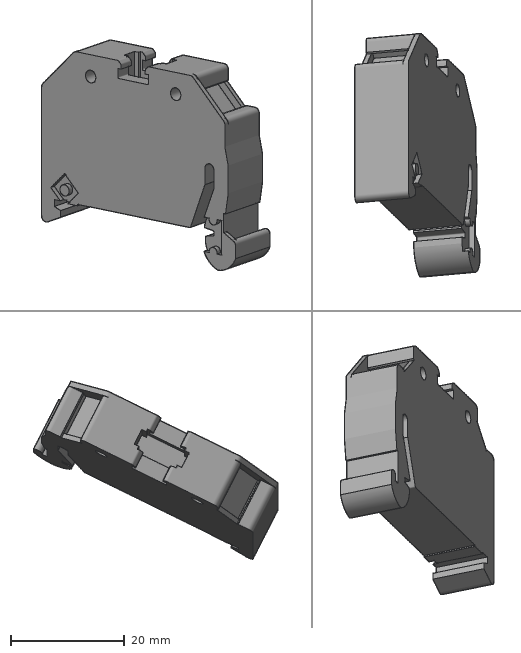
import cadquery as cq
import math

LENGTH = 43.4
THICKNESS = 9.95
HEIGHT = 34.7
BODY_LENGTH = 41.0
MID_X = BODY_LENGTH / 2
SHOULDER_Z = 27.35
SHOULDER_RUN = HEIGHT - SHOULDER_Z
ROUND = 1.0
BASE_Z = 6.75
SKIN = 1.0

HOOK_X = 2.85
HOOK_TIP_X = 4.3
HOOK_TIP_TOP_Z = 5.0
HOOK_TIP_BOTTOM_Z = 3.8
HOOK_ROOT_Z = 5.5
HOOK_BOTTOM_Z = 1.75
PAD_START_X = 4.85
PAD_END_X = 8.07
PAD_Z = 6.5

SLOT_LEFT_X = 36.55
SLOT_WIDTH = 2.0
SLOT_RIGHT_X = SLOT_LEFT_X + SLOT_WIDTH
SLOT_TOP_Z = 19.23
SLOT_BEND_Z = 15.25
SLOT_OUTER_BEND_Z = 14.8
SLOT_MOUTH_X = 33.3
SLOT_MOUTH_ROUND = 0.3

BULGE_X = 41.75
BULGE_TOP_Z = 19.57
BULGE_START_Z = 22.87
BULGE_BOTTOM_Z = 14.5
BULGE_END_X = 41.15
NECK_X = 40.75
NECK_TOP_Z = 10.65
FOOT_TOP_Z = 7.15
FOOT_CORNER_Z = 5.7
FOOT_SIDE_Z = 2.8
FOOT_SIDE_ARC_MID = (41.92, 0.9)
FOOT_LOWEST_X = 39.5
FOOT_NOSE_ARC_MID = (37.25, 1.5)
FOOT_NOSE_Z = 4.25
FOOT_LEFT_X = 35.9

CATCH_LOWER_Z = 5.45
CATCH_ROOT_X = 37.75
CATCH_ROOT_BOTTOM_Z = 5.8
CATCH_ROOT_TOP_Z = 6.73
CATCH_ROOT_ROUND = 0.2
LEG_TIP_X = 35.65
LEG_TIP_Z = 7.0
LEG_TIP_HEIGHT = 0.35
NOSE_ROUND = 0.35

NOTCH_HALF = 3.4
NOTCH_MOUTH_HALF = 2.7
NOTCH_Z = 31.4
NOTCH_FLOOR_ROUND = 0.2
LIP_Z = 33.25
LIP_CHAMFER = 0.65
LIP_ROUND = 0.48
POCKET_DEPTH = 5.0
POCKET_CENTER_Y = 5.0
POCKET_LONG = (9.37, 2.95)
POCKET_WIDE = (7.6, 4.0)

HOLE_DIAMETER = 2.3
HOLE_OFFSET = 9.5
HOLE_Z = 30.73

LEDGE_Z = 27.85
LEDGE_END_X = 2.9
WALL_X = 6.9
WALL_END_Z = LEDGE_Z + WALL_X - LEDGE_END_X
RIB_THICKNESS = 0.9
RIB_DROP = 0.35
RIB_SHIFT = RIB_DROP / math.sqrt(2)
WELL_DEPTH = 1.4
WELL_UNDERCUT = 0.82

FACE_DEPTH = 1.0
DIAMOND_X = 5.15
DIAMOND_Z = 8.85
DIAMOND_SIDE = 4.35
STUD_DIAMETER = 2.05
FOOT_RECESS_RIGHT_X = 40.25
FOOT_RECESS_TOP_Z = 9.25
FOOT_RECESS_BOTTOM_Z = 2.95
BUMP_X = 38.35
BUMP_RADIUS = 0.85
BUMP_STEM = 0.2

GROOVE_SKIN = 0.9

CROWN_RADIUS = 0.85
FOOT_SLOPE = math.atan2(FOOT_TOP_Z - FOOT_CORNER_Z, LENGTH - NECK_X)
CROWN_X = LENGTH - CROWN_RADIUS
CROWN_Z = FOOT_CORNER_Z - CROWN_RADIUS * math.tan(math.pi / 4 - FOOT_SLOPE / 2)


def sketch():
    """Workplane for profiles in X and Z."""
    return cq.Workplane("XZ")


def extrude_y(profile, start, end):
    """Solid filling the profile from Y = start to Y = end."""
    return profile.extrude(start - end).translate((0, start, 0))


def round_corner(solid, x, z, radius):
    """Round the edge along Y that passes through (x, z)."""
    nearest = cq.selectors.NearestToPointSelector((x, THICKNESS / 2, z))
    return solid.edges("|Y").edges(nearest).fillet(radius)


def on_crown(angle):
    """Point on the crown of the foot, angle measured from +Z toward +X."""
    return (CROWN_X + CROWN_RADIUS * math.sin(angle), CROWN_Z + CROWN_RADIUS * math.cos(angle))


def marker_notch():
    half_profile = (
        sketch()
        .moveTo(0, NOTCH_Z)
        .lineTo(NOTCH_HALF, NOTCH_Z)
        .lineTo(NOTCH_HALF, LIP_Z)
        .lineTo(NOTCH_MOUTH_HALF, LIP_Z)
        .lineTo(NOTCH_MOUTH_HALF, HEIGHT - LIP_CHAMFER)
        .lineTo(NOTCH_MOUTH_HALF + LIP_CHAMFER, HEIGHT)
        .lineTo(0, HEIGHT)
        .close()
    )
    half = extrude_y(half_profile, 0, THICKNESS)
    return half.union(half.mirror("YZ")).translate((MID_X, 0, 0))


def housing():
    profile = (
        sketch()
        .moveTo(0, HOOK_BOTTOM_Z)
        .lineTo(0, SHOULDER_Z)
        .lineTo(SHOULDER_RUN, HEIGHT)
        .lineTo(BODY_LENGTH - SHOULDER_RUN, HEIGHT)
        .lineTo(BODY_LENGTH, SHOULDER_Z)
        .lineTo(BODY_LENGTH, BULGE_START_Z)
        .lineTo(BULGE_X, BULGE_TOP_Z)
        .lineTo(BULGE_X, BULGE_BOTTOM_Z)
        .lineTo(BULGE_END_X, NECK_TOP_Z)
        .lineTo(NECK_X, NECK_TOP_Z)
        .lineTo(NECK_X, FOOT_TOP_Z)
        .lineTo(*on_crown(FOOT_SLOPE))
        .threePointArc(on_crown((FOOT_SLOPE + math.pi / 2) / 2), (LENGTH, CROWN_Z))
        .lineTo(LENGTH, FOOT_SIDE_Z)
        .threePointArc(FOOT_SIDE_ARC_MID, (FOOT_LOWEST_X, 0))
        .threePointArc(FOOT_NOSE_ARC_MID, (FOOT_LEFT_X, FOOT_NOSE_Z))
        .lineTo(FOOT_LEFT_X, CATCH_LOWER_Z)
        .lineTo(CATCH_ROOT_X, CATCH_ROOT_BOTTOM_Z)
        .lineTo(CATCH_ROOT_X, CATCH_ROOT_TOP_Z)
        .lineTo(LEG_TIP_X, LEG_TIP_Z)
        .lineTo(LEG_TIP_X, LEG_TIP_Z + LEG_TIP_HEIGHT)
        .lineTo(SLOT_RIGHT_X, SLOT_OUTER_BEND_Z)
        .lineTo(SLOT_RIGHT_X, SLOT_TOP_Z - SLOT_WIDTH / 2)
        .threePointArc(
            (SLOT_LEFT_X + SLOT_WIDTH / 2, SLOT_TOP_Z),
            (SLOT_LEFT_X, SLOT_TOP_Z - SLOT_WIDTH / 2),
        )
        .lineTo(SLOT_LEFT_X, SLOT_BEND_Z)
        .lineTo(SLOT_MOUTH_X, BASE_Z)
        .lineTo(PAD_END_X, BASE_Z)
        .lineTo(PAD_END_X, PAD_Z)
        .lineTo(PAD_START_X, PAD_Z)
        .lineTo(PAD_START_X, BASE_Z)
        .lineTo(HOOK_X, BASE_Z)
        .lineTo(HOOK_X, HOOK_ROOT_Z)
        .lineTo(HOOK_TIP_X, HOOK_TIP_TOP_Z)
        .lineTo(HOOK_TIP_X, HOOK_TIP_BOTTOM_Z)
        .close()
    )
    solid = extrude_y(profile, 0, THICKNESS).cut(marker_notch())
    for side in (-1, 1):
        solid = round_corner(solid, MID_X + side * NOTCH_HALF, NOTCH_Z, NOTCH_FLOOR_ROUND)
        mouth_x = MID_X + side * NOTCH_MOUTH_HALF
        solid = round_corner(solid, mouth_x, HEIGHT - LIP_CHAMFER, LIP_ROUND)
        solid = round_corner(solid, mouth_x + side * LIP_CHAMFER, HEIGHT, LIP_ROUND)
    rounded_corners = [
        (0, HOOK_BOTTOM_Z),
        (0, SHOULDER_Z),
        (SHOULDER_RUN, HEIGHT),
        (BODY_LENGTH - SHOULDER_RUN, HEIGHT),
        (BODY_LENGTH, SHOULDER_Z),
    ]
    for x, z in rounded_corners:
        solid = round_corner(solid, x, z, ROUND)
    solid = round_corner(solid, FOOT_LEFT_X, CATCH_LOWER_Z, NOSE_ROUND)
    for z in (CATCH_ROOT_BOTTOM_Z, CATCH_ROOT_TOP_Z):
        solid = round_corner(solid, CATCH_ROOT_X, z, CATCH_ROOT_ROUND)
    return round_corner(solid, SLOT_MOUTH_X, BASE_Z, SLOT_MOUTH_ROUND)


def marker_pocket():
    long_pocket = cq.Workplane("XY").box(*POCKET_LONG, POCKET_DEPTH)
    wide_pocket = cq.Workplane("XY").box(*POCKET_WIDE, POCKET_DEPTH)
    return long_pocket.union(wide_pocket).translate((MID_X, POCKET_CENTER_Y, HEIGHT - POCKET_DEPTH / 2))


def test_holes():
    centers = [(MID_X - HOLE_OFFSET, HOLE_Z), (MID_X + HOLE_OFFSET, HOLE_Z)]
    profile = sketch().pushPoints(centers).circle(HOLE_DIAMETER / 2)
    return extrude_y(profile, 0, THICKNESS)


def shoulder_step():
    """Opening of the left recess: ledge, rib top and wall, behind the front wall."""
    profile = (
        sketch()
        .moveTo(0, HEIGHT)
        .lineTo(0, LEDGE_Z - ROUND)
        .radiusArc((ROUND, LEDGE_Z), ROUND)
        .lineTo(LEDGE_END_X, LEDGE_Z)
        .line(RIB_SHIFT, -RIB_SHIFT)
        .lineTo(WALL_X + RIB_SHIFT, WALL_END_Z - RIB_SHIFT)
        .lineTo(WALL_X, WALL_END_Z)
        .lineTo(WALL_X, HEIGHT - ROUND)
        .radiusArc((WALL_X + ROUND, HEIGHT), ROUND)
        .close()
    )
    return extrude_y(profile, SKIN, THICKNESS)


def shoulder_well():
    """Undercut well in front of the rib, its floor parallel to the shoulder."""
    undercut = WELL_UNDERCUT / math.sqrt(2)
    depth = WELL_DEPTH / math.sqrt(2)
    length = WALL_X - LEDGE_END_X + 2 * undercut
    profile = (
        sketch()
        .moveTo(LEDGE_END_X + RIB_SHIFT - undercut, LEDGE_Z - RIB_SHIFT - undercut)
        .line(depth, -depth)
        .line(length, length)
        .line(-depth, depth)
        .close()
    )
    return extrude_y(profile, SKIN, THICKNESS - RIB_THICKNESS)


def shoulder_recesses():
    left = shoulder_step().union(shoulder_well())
    right = left.mirror("YZ").translate((BODY_LENGTH, 0, 0))
    return left.union(right)


def diamond_recess():
    diamond = extrude_y(sketch().rect(DIAMOND_SIDE, DIAMOND_SIDE), 0, FACE_DEPTH)
    diamond = diamond.rotate((0, 0, 0), (0, 1, 0), 45)
    stud = extrude_y(sketch().circle(STUD_DIAMETER / 2), 0, FACE_DEPTH)
    return diamond.cut(stud).translate((DIAMOND_X, 0, DIAMOND_Z))


def foot_recess():
    open_end_x = FOOT_LEFT_X - 0.45
    profile = (
        sketch()
        .moveTo(open_end_x, FOOT_RECESS_BOTTOM_Z)
        .lineTo(BUMP_X - BUMP_RADIUS, FOOT_RECESS_BOTTOM_Z)
        .line(0, BUMP_STEM)
        .threePointArc(
            (BUMP_X, FOOT_RECESS_BOTTOM_Z + BUMP_STEM + BUMP_RADIUS),
            (BUMP_X + BUMP_RADIUS, FOOT_RECESS_BOTTOM_Z + BUMP_STEM),
        )
        .line(0, -BUMP_STEM)
        .lineTo(FOOT_RECESS_RIGHT_X, FOOT_RECESS_BOTTOM_Z)
        .lineTo(FOOT_RECESS_RIGHT_X, FOOT_RECESS_TOP_Z)
        .lineTo(BUMP_X + BUMP_RADIUS, FOOT_RECESS_TOP_Z)
        .line(0, -BUMP_STEM)
        .threePointArc(
            (BUMP_X, FOOT_RECESS_TOP_Z - BUMP_STEM - BUMP_RADIUS),
            (BUMP_X - BUMP_RADIUS, FOOT_RECESS_TOP_Z - BUMP_STEM),
        )
        .line(0, BUMP_STEM)
        .lineTo(open_end_x, FOOT_RECESS_TOP_Z)
        .close()
    )
    return extrude_y(profile, 0, FACE_DEPTH)


def release_groove():
    """Groove between the neck and the rounded crown of the foot."""
    groove_bottom_z = CROWN_Z - CROWN_RADIUS
    crown_left_x = CROWN_X - CROWN_RADIUS
    profile = (
        sketch()
        .moveTo(NECK_X, groove_bottom_z)
        .lineTo(crown_left_x, groove_bottom_z)
        .lineTo(crown_left_x, CROWN_Z)
        .threePointArc(on_crown((FOOT_SLOPE - math.pi / 2) / 2), on_crown(FOOT_SLOPE))
        .lineTo(NECK_X, FOOT_TOP_Z)
        .close()
    )
    return extrude_y(profile, GROOVE_SKIN, THICKNESS)


result = (
    housing()
    .cut(marker_pocket())
    .cut(test_holes())
    .cut(shoulder_recesses())
    .cut(diamond_recess())
    .cut(foot_recess())
    .cut(release_groove())
)